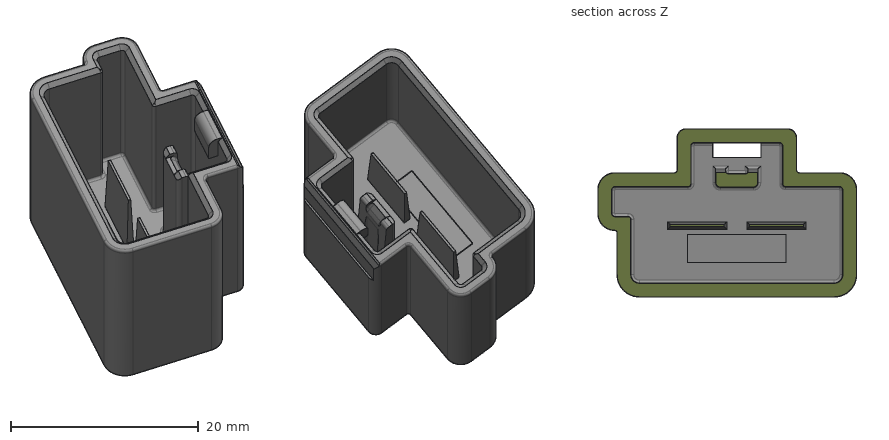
import cadquery as cq

length = 27.55
height = 21.3
depth = 17.9
body_left = 2.05
shoulder_y = 13.22
ear_bottom_y = 7.08
tower_width = 12.73
center_x = (body_left + length) / 2
tower_left = center_x - tower_width / 2
tower_right = center_x + tower_width / 2

main_radius = 2.4
ear_radius = 1.82
tower_radius = 1.0
notch_radius = 0.3
ear_notch_radius = 0.2
rim_radius = 0.3

wall = 1.5
floor_z = 3.0
floor_fillet = 0.3
mouth_chamfer = 0.5
mouth_angle = 45.0
cavity_ear_radius = 0.35
cavity_tower_radius = 0.35
cavity_notch_radius = 0.3

relief_depth = 0.22
relief_z = 16.83
lead_in_drop = 0.88
lead_in_depth = 0.5
lead_in_height = 0.77
lead_in_rim = 0.2

tab_width = 4.05
tab_front_y = 15.35
tab_top_z = 21.27
tab_height = 2.9
tab_radius = 1.0
slot_width = 5.1
slot_front_y = 14.88

post_width = slot_width - 2 * floor_fillet
post_front_y = 11.68
post_back_y = 13.66
post_top_z = 16.83
post_corner_radius = 0.5
post_chamfer = 0.5
post_crown_width = 0.47
post_back_lean = 0.63
post_crown_radius = 0.39
channel_width = 2.4
web_back_y = 13.15
web_ramp = 0.58
web_round_drop = 0.95
web_fillet = 0.28

blade_length = 6.3
blade_thickness = 0.8
blade_pitch = 8.43
blade_y = 7.6
blade_top_z = 11.02
blade_draft = 1.9
label_length = 10.47
label_width = 3.0
label_y = 5.18
label_recess = 0.2


def block(x0, x1, y0, y1, z0, z1):
    """Box between opposite corners."""
    return cq.Workplane("XY").box(x1 - x0, y1 - y0, z1 - z0, centered=False).translate((x0, y0, z0))


def housing_outline(inset, z):
    """Sharp outline of the housing, moved inward by the inset."""
    left = body_left + inset
    right = length - inset
    shoulder = shoulder_y - inset
    ear_bottom = ear_bottom_y + inset
    corners = [
        (left, inset),
        (right, inset),
        (right, shoulder),
        (tower_right - inset, shoulder),
        (tower_right - inset, depth - inset),
        (tower_left + inset, depth - inset),
        (tower_left + inset, shoulder),
        (inset, shoulder),
        (inset, ear_bottom),
        (left, ear_bottom),
    ]
    return cq.Workplane("XY").workplane(offset=z).polyline(corners).close()


def round_corners(solid, inset, main, ear, ear_notch, tower, notch):
    """Round the upright edges of a prism made from the housing outline."""
    shoulder = shoulder_y - inset
    ear_bottom = ear_bottom_y + inset
    groups = [
        (main, [(body_left + inset, inset), (length - inset, inset)]),
        (ear, [(inset, shoulder), (inset, ear_bottom), (length - inset, shoulder)]),
        (tower, [(tower_left + inset, depth - inset), (tower_right - inset, depth - inset)]),
        (notch, [(tower_left + inset, shoulder), (tower_right - inset, shoulder)]),
        (ear_notch, [(body_left + inset, ear_bottom)]),
    ]
    reach = 0.03
    for radius, corners in groups:
        for x, y in corners:
            corner = cq.selectors.BoxSelector(
                (x - reach, y - reach, -height), (x + reach, y + reach, 2 * height)
            )
            solid = solid.edges("|Z").edges(corner).fillet(radius)
    return solid


def make_shell():
    outer = housing_outline(0, 0).extrude(height)
    outer = round_corners(outer, 0, main_radius, ear_radius, ear_notch_radius, tower_radius, notch_radius)
    outer = outer.faces(">Z").edges().fillet(rim_radius)

    mouth_z = height - mouth_chamfer
    cavity = housing_outline(wall, floor_z).extrude(mouth_z - floor_z)
    cavity = round_corners(
        cavity,
        wall,
        main_radius - wall,
        cavity_ear_radius,
        cavity_notch_radius,
        cavity_tower_radius,
        cavity_notch_radius,
    )
    mouth = cavity.faces(">Z").wires().toPending().extrude(mouth_chamfer, taper=-mouth_angle)
    return outer.cut(cavity).cut(mouth)


def make_back_relief():
    relief_y = depth - relief_depth
    profile = [
        (depth, relief_z),
        (relief_y, relief_z),
        (relief_y, height - lead_in_drop),
        (relief_y - lead_in_depth, height - lead_in_drop + lead_in_height),
        (relief_y - lead_in_depth - lead_in_rim, height),
        (depth, height),
    ]
    relief = cq.Workplane("YZ").polyline(profile).close().extrude(tower_width)
    return relief.translate((tower_left, 0, 0))


def make_slot():
    """Opening through the floor, flush with the top of the back wall."""
    half = slot_width / 2
    return block(center_x - half, center_x + half, slot_front_y, depth - wall, 0, tab_top_z - tab_height)


def make_tab():
    """Latch tab on the back wall with a rounded top front edge."""
    half = tab_width / 2
    root_y = depth - wall + mouth_chamfer
    tab = block(center_x - half, center_x + half, tab_front_y, root_y, tab_top_z - tab_height, tab_top_z)
    return tab.edges("|X and >Z and <Y").fillet(tab_radius)


def extrude_across(width, sketch):
    """Extrude a closed YZ profile along X, centered on the housing."""
    return sketch.close().extrude(width).translate((center_x - width / 2, 0, 0))


def make_post():
    """Post with two arms that lean forward at the back, joined at the front by a lower web."""
    half = post_width / 2
    post = block(center_x - half, center_x + half, post_front_y, post_back_y, floor_z, post_top_z)
    post = post.edges("|Z and <Y").fillet(post_corner_radius)

    web_top_z = post_top_z - post_chamfer
    ridge_y = post_front_y + post_chamfer
    crown_y = ridge_y + post_crown_width
    arm = (
        cq.Workplane("YZ")
        .moveTo(post_front_y, floor_z)
        .lineTo(post_front_y, web_top_z)
        .lineTo(ridge_y, post_top_z)
        .lineTo(crown_y, post_top_z)
        .tangentArcPoint((post_back_y - post_back_lean, post_top_z - post_crown_radius), relative=False)
        .lineTo(post_back_y, floor_z)
    )
    post = post.intersect(extrude_across(post_width, arm))

    ramp_end_y = ridge_y + web_ramp
    ramp_end_z = web_top_z - web_ramp
    channel = (
        cq.Workplane("YZ")
        .moveTo(post_front_y, web_top_z)
        .lineTo(ridge_y, web_top_z)
        .lineTo(ramp_end_y, ramp_end_z)
        .tangentArcPoint((web_back_y, ramp_end_z - web_round_drop), relative=False)
        .lineTo(web_back_y, floor_z)
        .lineTo(post_back_y, floor_z)
        .lineTo(post_back_y, post_top_z)
        .lineTo(post_front_y, post_top_z)
    )
    channel = extrude_across(channel_width, channel)

    reach = 0.03
    web_zone = cq.selectors.BoxSelector((0, ridge_y, 0), (length, web_back_y + reach, web_top_z - reach))
    channel = channel.edges("not |X").edges(web_zone).fillet(web_fillet)
    return post.cut(channel)


def fillet_floor(solid):
    """Round the floor into the cavity walls and the post."""
    reach = 0.03
    floor = cq.selectors.BoxSelector((0, 0, floor_z - reach), (length, depth, floor_z + reach))
    return solid.faces(floor).edges().fillet(floor_fillet)


def make_blade(x):
    """Upright blade standing on the floor, tapering to its tip."""
    blade = cq.Workplane("XY", origin=(x, blade_y, floor_z))
    return blade.rect(blade_length, blade_thickness).extrude(blade_top_z - floor_z, taper=blade_draft)


def make_label_recess():
    recess = cq.Workplane("XY", origin=(center_x, label_y, floor_z))
    return recess.rect(label_length, label_width).extrude(-label_recess)


result = fillet_floor(make_shell().union(make_post()))
result = result.cut(make_back_relief()).cut(make_slot()).cut(make_label_recess())
result = result.union(make_tab())
for side in (-1, 1):
    result = result.union(make_blade(center_x + side * blade_pitch / 2))